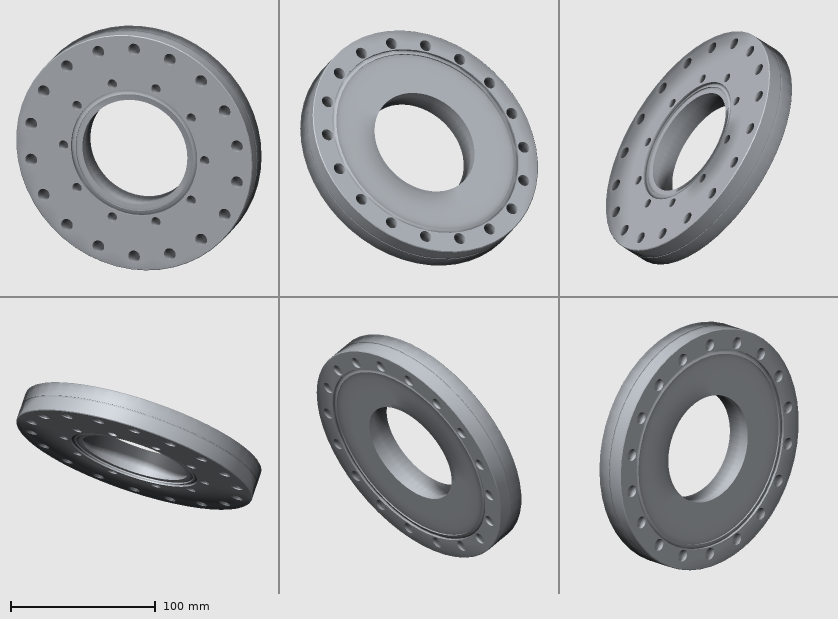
import cadquery as cq
import math

outer_diameter = 171.5
thickness = 21.3
bore_diameter = 76.1
rim_chamfer = 0.5

rim_groove_width = 1.0
rim_groove_depth = 0.3

front_recess_diameter = 91.5
back_recess_diameter = 141.8
knife_inset = 3.3
knife_slope = 20.0
knife_tip_depth = 0.7
seal_floor_depth = 1.7

bolt_count = 18
bolt_diameter = 8.4
bolt_circle_diameter = 151.6

blind_count = 10
blind_diameter = 6.7
blind_circle_diameter = 102.4
blind_depth = 12.9
drill_point_angle = 118.0

front_y = -thickness / 2
back_y = thickness / 2
axis_start = (0, 0, 0)
axis_end = (0, 1, 0)


def turn(profile):
    """Revolve a radius-against-Y half section about the Y axis."""
    return profile.close().revolve(360, axis_start, axis_end)


def rim_blank():
    """Solid disc with chamfered rim edges and the groove around its middle."""
    outer_radius = outer_diameter / 2
    chamfer_radius = outer_radius - rim_chamfer
    groove_radius = outer_radius - rim_groove_depth
    half_groove = rim_groove_width / 2
    return turn(
        cq.Workplane("XY")
        .moveTo(0, front_y)
        .lineTo(chamfer_radius, front_y)
        .lineTo(outer_radius, front_y + rim_chamfer)
        .lineTo(outer_radius, -half_groove)
        .lineTo(groove_radius, -half_groove)
        .lineTo(groove_radius, half_groove)
        .lineTo(outer_radius, half_groove)
        .lineTo(outer_radius, back_y - rim_chamfer)
        .lineTo(chamfer_radius, back_y)
        .lineTo(0, back_y)
    )


def seal_recess(recess_diameter, face_y, inward):
    """Cutter for a recess whose outer floor rises to a knife edge; inward is +1 or -1 along Y."""
    recess_radius = recess_diameter / 2
    knife_radius = recess_radius - knife_inset
    foot_depth = knife_tip_depth + knife_inset * math.tan(math.radians(knife_slope))
    tip_y = face_y + inward * knife_tip_depth
    foot_y = face_y + inward * foot_depth
    floor_y = face_y + inward * seal_floor_depth
    return turn(
        cq.Workplane("XY")
        .moveTo(0, face_y)
        .lineTo(recess_radius, face_y)
        .lineTo(recess_radius, foot_y)
        .lineTo(knife_radius, tip_y)
        .lineTo(knife_radius, floor_y)
        .lineTo(0, floor_y)
    )


def drill(diameter, depth, point_length):
    """Round cutter on the Y axis, starting at the front face and ending in a conical point."""
    radius = diameter / 2
    return turn(
        cq.Workplane("XY")
        .moveTo(0, front_y)
        .lineTo(radius, front_y)
        .lineTo(radius, front_y + depth)
        .lineTo(0, front_y + depth + point_length)
    )


def cut_hole_circle(body, cutter, count, circle_diameter, first_angle):
    """Cut equally spaced copies of the cutter; angles run about Y, starting from +X."""
    for index in range(count):
        angle = first_angle + index * 360 / count
        placed = cutter.translate((circle_diameter / 2, 0, 0)).rotate(axis_start, axis_end, angle)
        body = body.cut(placed)
    return body


body = rim_blank()
body = body.cut(seal_recess(front_recess_diameter, front_y, 1))
body = body.cut(seal_recess(back_recess_diameter, back_y, -1))
bore = cq.Workplane("XZ", origin=(0, back_y, 0)).circle(bore_diameter / 2).extrude(thickness)
body = body.cut(bore)

bolt_cutter = drill(bolt_diameter, thickness, bolt_diameter / 2)
body = cut_hole_circle(body, bolt_cutter, bolt_count, bolt_circle_diameter, 180 / bolt_count)

blind_point_length = blind_diameter / 2 / math.tan(math.radians(drill_point_angle / 2))
blind_cutter = drill(blind_diameter, blind_depth, blind_point_length)
body = cut_hole_circle(body, blind_cutter, blind_count, blind_circle_diameter, 0)

result = body